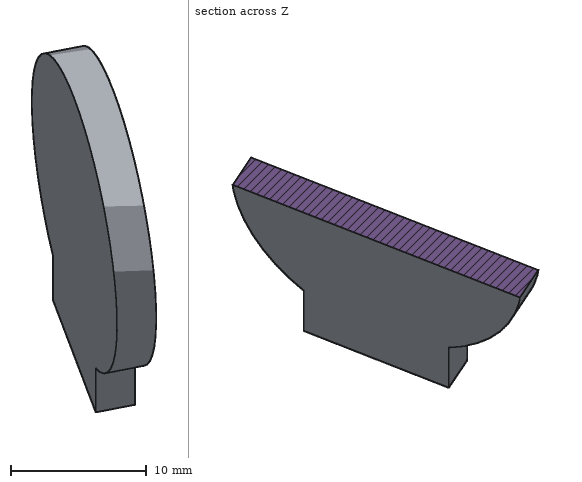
import cadquery as cq

total_height = 27.0
disc_diameter = 24.0
thickness = 3.0
tab_width = disc_diameter / 2

disc_radius = disc_diameter / 2
disc_center_z = total_height / 2 - disc_radius
tab_height = total_height - disc_radius

disc = (
    cq.Workplane("XZ")
    .center(0, disc_center_z)
    .circle(disc_radius)
    .extrude(thickness / 2, both=True)
)

tab = (
    cq.Workplane("XY")
    .box(tab_width, thickness, tab_height, centered=(True, True, False))
    .translate((0, 0, -total_height / 2))
)

result = disc.union(tab)